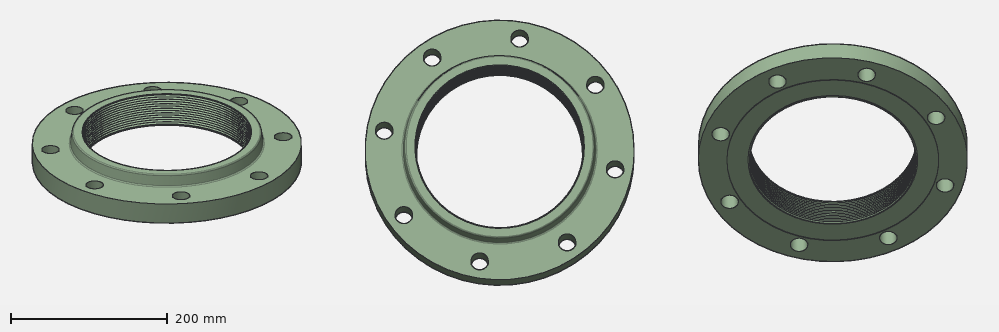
import cadquery as cq
import math


flange_diameter = 342.9
flange_thickness = 27.6
overall_height = 44.51

raised_face_diameter = 269.9
raised_face_height = 1.0

hub_base_diameter = 246.0
hub_draft_angle = 9.0
hub_top_fillet = 1.6
hub_base_fillet = 1.6

bolt_count = 8
bolt_circle_diameter = 298.5
bolt_hole_diameter = 22.2

thread_pitch = 25.4 / 8
thread_flank_angle = 30.0
thread_taper = 1 / 32
crest_radius_at_bottom = 105.4
top_crest_depth = 0.7

plate_top = raised_face_height + flange_thickness
hub_height = overall_height - plate_top
hub_top_radius = hub_base_diameter / 2 - hub_height * math.tan(math.radians(hub_draft_angle))
groove_depth = thread_pitch / 2 / math.tan(math.radians(thread_flank_angle))
groove_count = math.ceil(overall_height / thread_pitch)
top_crest_height = overall_height - top_crest_depth


def make_body():
    """Raised face, plate and drafted hub turned as one solid blank."""
    outline = (
        cq.Workplane("XZ")
        .moveTo(0, 0)
        .lineTo(raised_face_diameter / 2, 0)
        .lineTo(raised_face_diameter / 2, raised_face_height)
        .lineTo(flange_diameter / 2, raised_face_height)
        .lineTo(flange_diameter / 2, plate_top)
        .lineTo(hub_base_diameter / 2, plate_top)
        .lineTo(hub_top_radius, overall_height)
        .lineTo(0, overall_height)
        .close()
    )
    body = outline.revolve(360, (0, 0, 0), (0, 1, 0))
    body = body.faces(">Z").edges().fillet(hub_top_fillet)
    plate_top_face = body.faces(
        cq.selectors.NearestToPointSelector((bolt_circle_diameter / 2, 0, plate_top))
    )
    hub_base_edge = plate_top_face.edges(cq.selectors.RadiusNthSelector(0))
    return hub_base_edge.fillet(hub_base_fillet)


def crest_radius(height):
    """Radius of the thread crest line at a height above the sealing face."""
    return crest_radius_at_bottom + thread_taper * height


def make_threaded_bore():
    """Cutting tool for the bore: a tapered core with V rings, running past both ends."""
    upper_end = top_crest_height + thread_pitch
    lower_end = upper_end - groove_count * thread_pitch
    outline = cq.Workplane("XZ").moveTo(0, lower_end).lineTo(crest_radius(lower_end), lower_end)
    for index in range(groove_count):
        root_height = lower_end + (index + 0.5) * thread_pitch
        crest_height = lower_end + (index + 1) * thread_pitch
        outline = outline.lineTo(crest_radius(root_height) + groove_depth, root_height)
        outline = outline.lineTo(crest_radius(crest_height), crest_height)
    outline = outline.lineTo(0, upper_end).close()
    return outline.revolve(360, (0, 0, 0), (0, 1, 0))


def make_bolt_holes():
    """Cutting tool for the ring of through bolt holes."""
    return (
        cq.Workplane("XY")
        .polarArray(bolt_circle_diameter / 2, 0, 360, bolt_count)
        .circle(bolt_hole_diameter / 2)
        .extrude(overall_height)
    )


result = make_body().cut(make_threaded_bore()).cut(make_bolt_holes())